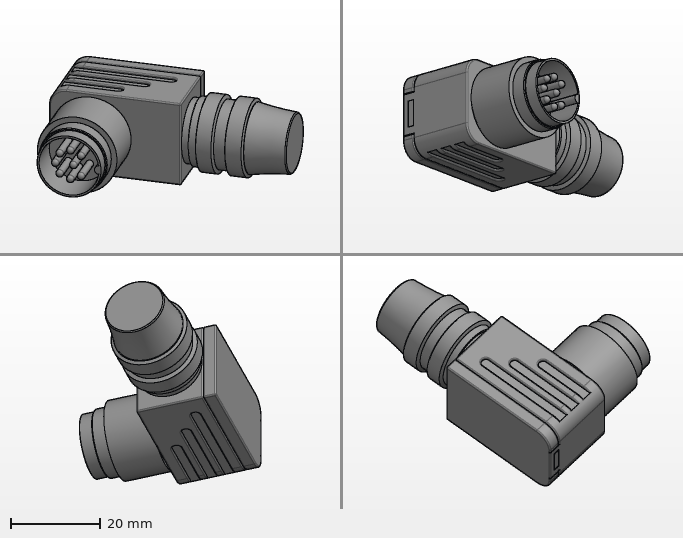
import cadquery as cq
import math


total_length = 55
housing_length = 30.75
housing_width = 18.9
housing_height = 20.0
end_radius = 4.0
edge_fillet = 0.35
lid_thickness = 3.1
top_z = housing_height / 2
lid_joint_y = housing_width - lid_thickness

tab_height = 9.8
tab_gap = 0.15
tab_gap_depth = 0.35
tab_depth = 1.1
window_width = 1.55
window_height = 6.15
window_recess = 0.1
window_y = 16.6

slot_width = 2.2
slot_depth = 0.55
slot_fillet = 0.3
slot_pitch = 4.0
slot_middle_y = 8.05
slot_tips = (16.05, 21.0, 26.05)

plug_x = 10.0
plug_length = 18.2
neck_radius = 8.3
neck_length = 0.6
sleeve_radius = 9.3
sleeve_end = 11.75
collar_radius = 8.0
collar_end = 15.2
tip_radius = 7.5
plug_chamfer = 0.2
bore_radius = 7.0
bore_depth = 8.0
key_radius = 1.05

pin_radius = 0.9
pin_circle_radius = 3.5
pin_positions = 8
inner_pin_offset = 0.7
pin_dome_setback = 1.15

gland_y = 8.05
gland_neck_radius = 7.55
gland_body_start = 32.45
gland_body_radius = 8.05
ring_radius = 9.0
ring_flank = 0.35
first_ring = (34.15, 38.4)
second_ring = (41.0, 45.45)
cone_start_radius = 8.25
cone_middle_radius = 7.5
cone_end_radius = 7.05
cone_end_chamfer = 0.3


def rounded_block(y_start, y_end):
    """Housing slab with two large end corners and small rounds on all other edges."""
    width = y_end - y_start
    block = (
        cq.Workplane("XY")
        .box(housing_length, width, housing_height, centered=(False, False, True))
        .translate((0, y_start, 0))
    )
    block = block.edges("|Y and <X").fillet(end_radius)
    return block.faces("<Y or >Y or >X").edges().fillet(edge_fillet)


def make_slot(tip_x, y):
    """Cutter for one grip slot in the upper face; it runs out through the end corner."""
    straight_end = tip_x - slot_width / 2
    return (
        cq.Workplane("XY", origin=(0, y, top_z - slot_depth))
        .moveTo(0, -slot_width / 2)
        .lineTo(straight_end, -slot_width / 2)
        .threePointArc((tip_x, 0), (straight_end, slot_width / 2))
        .lineTo(0, slot_width / 2)
        .close()
        .extrude(2 * slot_depth)
    )


def rim_zone(side):
    """Selector for the slot edges above the slot floors; side is 1 for upper, -1 for lower."""
    half_span = slot_pitch + slot_width / 2 + slot_fillet
    above_floor = 0.9 * slot_depth
    return cq.selectors.BoxSelector(
        (0, slot_middle_y - half_span, side * (top_z - above_floor)),
        (max(slot_tips) + slot_fillet, slot_middle_y + half_span, side * (top_z + above_floor)),
    )


def round_slot_rims(body):
    """Round the rims of the slots, leaving their floors and upright edges sharp."""
    slot_edges = body.edges(rim_zone(1) + rim_zone(-1))
    return slot_edges.edges("not(|Y or |Z)").fillet(slot_fillet)


def make_housing_base():
    base = rounded_block(0, lid_joint_y)
    for index, tip_x in enumerate(slot_tips):
        slot = make_slot(tip_x, slot_middle_y + (index - 1) * slot_pitch)
        base = base.cut(slot).cut(slot.mirror("XY"))
    return round_slot_rims(base)


def lid_strip(height):
    """Thin strip at the rounded end of the lid, over its full thickness."""
    strip = cq.Workplane("XY", origin=(0, lid_joint_y, 0))
    return strip.box(tab_gap_depth, lid_thickness, height, centered=(False, False, True))


def add_latch(housing):
    """Fill the lid joint behind the tab, then cut the gaps beside it and its window."""
    joint_width = 2 * edge_fillet
    tab = (
        cq.Workplane("XY")
        .box(tab_depth, joint_width, tab_height, centered=(False, True, True))
        .translate((0, lid_joint_y, 0))
    )
    gap_height = tab_height + 2 * tab_gap
    gaps = lid_strip(gap_height).cut(lid_strip(tab_height))
    window = (
        cq.Workplane("XY")
        .box(window_recess, window_width, window_height, centered=(False, True, True))
        .translate((0, window_y, 0))
    )
    return housing.union(tab).cut(gaps).cut(window)


def make_housing():
    lid = rounded_block(lid_joint_y, housing_width)
    return add_latch(make_housing_base().union(lid))


def make_plug():
    shell = (
        cq.Workplane("XY", origin=(plug_x, 0, 0))
        .moveTo(0, edge_fillet)
        .lineTo(neck_radius, edge_fillet)
        .lineTo(neck_radius, -neck_length)
        .lineTo(sleeve_radius, -neck_length)
        .lineTo(sleeve_radius, -sleeve_end)
        .lineTo(collar_radius, -sleeve_end)
        .lineTo(collar_radius, plug_chamfer - collar_end)
        .lineTo(collar_radius - plug_chamfer, -collar_end)
        .lineTo(tip_radius, -collar_end)
        .lineTo(tip_radius, -plug_length)
        .lineTo(bore_radius, -plug_length)
        .lineTo(bore_radius, bore_depth - plug_length)
        .lineTo(0, bore_depth - plug_length)
        .close()
        .revolve(360, (0, 0), (0, 1))
    )
    tip_plane = cq.Workplane("XZ", origin=(plug_x, -plug_length, 0))
    key = tip_plane.center(bore_radius, 0).circle(key_radius).extrude(-bore_depth)
    envelope = tip_plane.circle((bore_radius + tip_radius) / 2).extrude(-bore_depth)
    return shell.union(key.intersect(envelope))


def make_pin(x, z):
    dome_y = pin_dome_setback - plug_length
    shank = (
        cq.Workplane("XZ", origin=(x, dome_y, z))
        .circle(pin_radius)
        .extrude(-bore_depth)
    )
    return shank.union(cq.Workplane("XY").sphere(pin_radius).translate((x, dome_y, z)))


def make_pins():
    """Seven pins on a circle, leaving the key position free, and one pin near the axis."""
    pins = make_pin(plug_x + inner_pin_offset, 0)
    for index in range(1, pin_positions):
        angle = 2 * math.pi * index / pin_positions
        x = plug_x + pin_circle_radius * math.cos(angle)
        pins = pins.union(make_pin(x, pin_circle_radius * math.sin(angle)))
    return pins


def make_gland():
    """Turned body with two grip rings and a slightly hollow tapered end."""
    cone_start = second_ring[1]
    profile = (
        cq.Workplane("XY", origin=(0, gland_y, 0))
        .moveTo(housing_length - edge_fillet, 0)
        .lineTo(housing_length - edge_fillet, gland_neck_radius)
        .lineTo(gland_body_start, gland_neck_radius)
        .lineTo(gland_body_start, gland_body_radius)
    )
    for start, end in (first_ring, second_ring):
        profile = (
            profile.lineTo(start, gland_body_radius)
            .lineTo(start + ring_flank, ring_radius)
            .lineTo(end - ring_flank, ring_radius)
            .lineTo(end, gland_body_radius)
        )
    cone_end = total_length - cone_end_chamfer
    profile = (
        profile.lineTo(cone_start, cone_start_radius)
        .threePointArc(((cone_start + cone_end) / 2, cone_middle_radius), (cone_end, cone_end_radius))
        .lineTo(total_length, cone_end_radius - cone_end_chamfer)
        .lineTo(total_length, 0)
        .close()
    )
    return profile.revolve(360, (0, 0), (1, 0))


result = make_housing().union(make_plug()).union(make_pins()).union(make_gland())